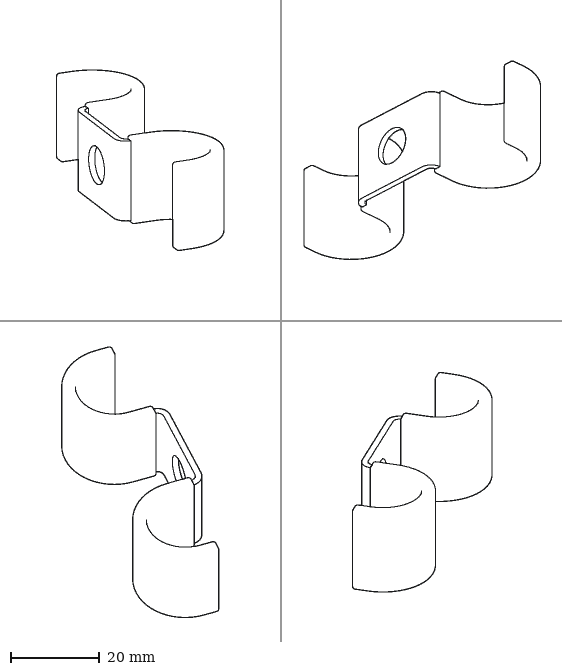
import cadquery as cq

overall_length = 68.1
clip_height = 20.55
clip_wall = 3.1
clip_outer_radius = 11.85
edge_round = 0.75
free_leg_length = 3.8
inner_leg_length = 5.8
overall_depth = 20.5

strip_thickness = 1.5
strip_height = clip_height - 2 * edge_round
bend_inner_radius = 1.5
bend_outer_radius = bend_inner_radius + strip_thickness
hole_diameter = 8.85
strip_overlap = 2.05

clip_inner_radius = clip_outer_radius - clip_wall
clip_center_x = overall_length / 2 - clip_outer_radius
clip_center_y = overall_depth / 2 - clip_outer_radius
inner_leg_end_y = clip_center_y - inner_leg_length
free_leg_end_y = clip_center_y - free_leg_length
strip_front_y = -overall_depth / 2
inner_leg_center_x = clip_center_x - clip_outer_radius + clip_wall / 2
strip_half_length = inner_leg_center_x + strip_thickness / 2


def make_clip():
    """Right-hand U-shaped clip with all of its edges rounded."""
    inner_leg_x = clip_center_x - clip_outer_radius
    free_leg_x = clip_center_x + clip_outer_radius
    return (
        cq.Workplane("XY", origin=(0, 0, -clip_height / 2))
        .moveTo(inner_leg_x, inner_leg_end_y)
        .lineTo(inner_leg_x, clip_center_y)
        .threePointArc((clip_center_x, clip_center_y + clip_outer_radius), (free_leg_x, clip_center_y))
        .lineTo(free_leg_x, free_leg_end_y)
        .lineTo(free_leg_x - clip_wall, free_leg_end_y)
        .lineTo(free_leg_x - clip_wall, clip_center_y)
        .threePointArc(
            (clip_center_x, clip_center_y + clip_inner_radius),
            (inner_leg_x + clip_wall, clip_center_y),
        )
        .lineTo(inner_leg_x + clip_wall, inner_leg_end_y)
        .close()
        .extrude(clip_height)
        .faces("|Z or -Y")
        .edges()
        .fillet(edge_round)
    )


def make_strip():
    """Channel-shaped strip with rounded bends and a central fixing hole."""
    strip_end_y = inner_leg_end_y + strip_overlap
    strip_depth = strip_end_y - strip_front_y
    outer = (
        cq.Workplane("XY")
        .center(0, strip_front_y + strip_depth / 2)
        .box(2 * strip_half_length, strip_depth, strip_height)
        .edges("|Z and <Y")
        .fillet(bend_outer_radius)
    )
    channel = (
        cq.Workplane("XY")
        .center(0, strip_front_y + strip_thickness + strip_depth / 2)
        .box(2 * (strip_half_length - strip_thickness), strip_depth, strip_height)
        .edges("|Z and <Y")
        .fillet(bend_inner_radius)
    )
    hole = (
        cq.Workplane("XZ")
        .circle(hole_diameter / 2)
        .extrude(overall_depth)
    )
    return outer.cut(channel).cut(hole)


right_clip = make_clip()
left_clip = right_clip.mirror("YZ")
result = make_strip().union(right_clip).union(left_clip)